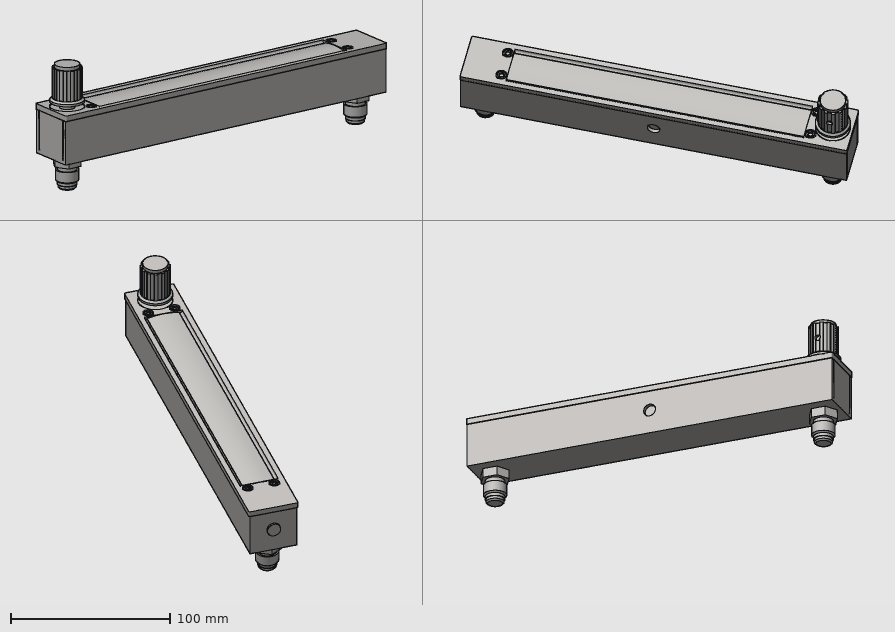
import cadquery as cq
import math


BODY_WIDTH = 31.1
BODY_LENGTH = 249.5
BODY_HEIGHT = 28.9
COVER_WIDTH = 32.6
COVER_LENGTH = 250.0
COVER_THICKNESS = 3.8
COVER_CORNER_RADIUS = 1.0
COVER_TOP = BODY_HEIGHT + COVER_THICKNESS

WINDOW_WIDTH = 25.0
WINDOW_LENGTH = 192.3
WINDOW_DEPTH = 2.0
WINDOW_FLOOR_RADIUS = 1.8
LENS_WIDTH = 21.3
LENS_EDGE_HEIGHT = 0.5
LENS_CROWN_HEIGHT = 1.8

SCREW_SPACING_X = 17.5
SCREW_SPACING_Y = 199.8
SCREW_DIAMETER = 6.8
SCREW_HOLE_DEPTH = 1.5
SCREW_HEAD_HEIGHT = 1.3
SCREW_HEAD_CHAMFER = 1.0
SOCKET_ACROSS_CORNERS = 3.3
SOCKET_DEPTH = 1.0

SIDE_HOLE_DIAMETER = 8.0
SIDE_HOLE_DEPTH = 2.5
SIDE_HOLE_HEIGHT = 15.8
END_BOSS_DIAMETER = 8.8
END_BOSS_THICKNESS = 1.3

END_SLOT_SPACING = 24.9
END_SLOT_TOP_WIDTH = 0.8
END_SLOT_BOTTOM_WIDTH = 0.3
END_SLOT_BOTTOM = 2.5
END_SLOT_DEPTH = 0.8

PORT_OFFSET = 112.2

SEAT_DEPTH = 0.8
STEM_DIAMETER = 9.8
STEM_HEIGHT = 3.0
FLANGE_DIAMETER = 22.0
FLANGE_THICKNESS = 1.5
FLANGE_CONE_HEIGHT = 1.3
GRIP_DIAMETER = 19.0
GRIP_TOP = 25.9
CAP_DIAMETER = 16.0
KNOB_HEIGHT = 28.0
FLUTE_COUNT = 12
FLUTE_DEPTH = 0.8
SET_SCREW_DIAMETER = 3.8
SET_SCREW_HEIGHT = 15.5
SET_SCREW_HOLE_DEPTH = 2.5

HEX_ACROSS_CORNERS = 19.0
HEX_DEPTH = 6.0
NECK_DIAMETER = 12.5
NUT_DIAMETER = 14.8
NUT_TOP_DEPTH = 9.0
NUT_BOTTOM_DEPTH = 15.8
NUT_TAPER_DEPTH = 16.8
STEP_DEPTH = 18.8
TIP_DIAMETER = 11.5
TIP_CHAMFER = 1.0
FITTING_DEPTH = 21.5


def cut_window(housing):
    """Cut the round-bottomed window slot and fill its middle with a domed lens."""
    floor = COVER_TOP - WINDOW_DEPTH
    slot = (
        cq.Workplane("XY", origin=(0, 0, floor))
        .box(WINDOW_WIDTH, WINDOW_LENGTH, WINDOW_DEPTH, centered=(True, True, False))
        .edges("|Y and <Z")
        .fillet(WINDOW_FLOOR_RADIUS)
    )
    half_lens = LENS_WIDTH / 2
    lens = (
        cq.Workplane("XZ", origin=(0, WINDOW_LENGTH / 2, 0))
        .moveTo(-half_lens, floor)
        .lineTo(-half_lens, floor + LENS_EDGE_HEIGHT)
        .threePointArc((0, floor + LENS_CROWN_HEIGHT), (half_lens, floor + LENS_EDGE_HEIGHT))
        .lineTo(half_lens, floor)
        .close()
        .extrude(WINDOW_LENGTH)
    )
    return housing.cut(slot).union(lens)


def add_cover_screws(housing):
    """Sink four socket screws into the cover, next to the window corners."""
    floor = COVER_TOP - SCREW_HOLE_DEPTH
    head_top = floor + SCREW_HEAD_HEIGHT

    def at_screws(height):
        return cq.Workplane("XY", origin=(0, 0, height)).rarray(SCREW_SPACING_X, SCREW_SPACING_Y, 2, 2)

    holes = at_screws(floor).circle(SCREW_DIAMETER / 2).extrude(SCREW_HOLE_DEPTH)
    heads = at_screws(floor).circle(SCREW_DIAMETER / 2).extrude(SCREW_HEAD_HEIGHT)
    heads = heads.faces(">Z").chamfer(SCREW_HEAD_CHAMFER)
    sockets = at_screws(head_top).polygon(6, SOCKET_ACROSS_CORNERS).extrude(-SOCKET_DEPTH)
    return housing.cut(holes).union(heads).cut(sockets)


def cut_end_slots(housing):
    """Cut two mirrored thin slots into the knob end; their inner sides are upright."""
    inner = END_SLOT_SPACING / 2
    slot = (
        cq.Workplane("XZ", origin=(0, -BODY_LENGTH / 2, 0))
        .polyline([
            (inner, END_SLOT_BOTTOM),
            (inner + END_SLOT_BOTTOM_WIDTH, END_SLOT_BOTTOM),
            (inner + END_SLOT_TOP_WIDTH, BODY_HEIGHT),
            (inner, BODY_HEIGHT),
        ])
        .close()
        .extrude(-END_SLOT_DEPTH)
    )
    return housing.cut(slot).cut(slot.mirror("YZ"))


def cut_knob_seat(housing):
    """Sink a round seat into the cover for the stem of the knob."""
    seat = (
        cq.Workplane("XY", origin=(0, -PORT_OFFSET, COVER_TOP))
        .circle(FLANGE_DIAMETER / 2)
        .extrude(-SEAT_DEPTH)
    )
    return housing.cut(seat)


def make_housing():
    body = cq.Workplane("XY").box(BODY_WIDTH, BODY_LENGTH, BODY_HEIGHT, centered=(True, True, False))
    cover = (
        cq.Workplane("XY", origin=(0, 0, BODY_HEIGHT))
        .box(COVER_WIDTH, COVER_LENGTH, COVER_THICKNESS, centered=(True, True, False))
        .edges("|Z")
        .fillet(COVER_CORNER_RADIUS)
    )
    end_boss = (
        cq.Workplane("XZ", origin=(0, BODY_LENGTH / 2, SIDE_HOLE_HEIGHT))
        .circle(END_BOSS_DIAMETER / 2)
        .extrude(-END_BOSS_THICKNESS)
    )
    side_hole = (
        cq.Workplane("YZ", origin=(-BODY_WIDTH / 2, 0, SIDE_HOLE_HEIGHT))
        .circle(SIDE_HOLE_DIAMETER / 2)
        .extrude(SIDE_HOLE_DEPTH)
    )
    housing = cut_end_slots(body).union(cover).union(end_boss).cut(side_hole)
    housing = cut_knob_seat(housing)
    housing = cut_window(housing)
    return add_cover_screws(housing)


def make_knob():
    """Turned knob with a fluted grip and a set screw hole facing -X."""
    flange_top = STEM_HEIGHT + FLANGE_THICKNESS
    cone_top = flange_top + FLANGE_CONE_HEIGHT
    grip_radius = GRIP_DIAMETER / 2
    profile = [
        (0, -SEAT_DEPTH),
        (STEM_DIAMETER / 2, -SEAT_DEPTH),
        (STEM_DIAMETER / 2, STEM_HEIGHT),
        (FLANGE_DIAMETER / 2, STEM_HEIGHT),
        (FLANGE_DIAMETER / 2, flange_top),
        (grip_radius, cone_top),
        (grip_radius, GRIP_TOP),
        (CAP_DIAMETER / 2, GRIP_TOP),
        (CAP_DIAMETER / 2, KNOB_HEIGHT),
        (0, KNOB_HEIGHT),
    ]
    knob = cq.Workplane("XZ").polyline(profile).close().revolve(360, (0, 0, 0), (0, 1, 0))

    flute_width = 2 * grip_radius * math.sin(math.pi / (2 * FLUTE_COUNT))
    flutes = (
        cq.Workplane("XY", origin=(0, 0, cone_top))
        .polarArray(grip_radius, 0, 360, FLUTE_COUNT)
        .rect(2 * FLUTE_DEPTH, flute_width)
        .extrude(GRIP_TOP - cone_top)
    )
    set_screw_hole = (
        cq.Workplane("YZ", origin=(-grip_radius, 0, SET_SCREW_HEIGHT))
        .circle(SET_SCREW_DIAMETER / 2)
        .extrude(SET_SCREW_HOLE_DEPTH)
    )
    return knob.cut(flutes).cut(set_screw_hole).translate((0, -PORT_OFFSET, COVER_TOP))


def make_fitting(y):
    """Hose fitting with a hexagon collar, hanging under the housing at y."""
    collar = cq.Workplane("XY").polygon(6, HEX_ACROSS_CORNERS).extrude(-HEX_DEPTH).rotate(
        (0, 0, 0), (0, 0, 1), 90
    )
    profile = [
        (0, 0),
        (NECK_DIAMETER / 2, 0),
        (NECK_DIAMETER / 2, -NUT_TOP_DEPTH),
        (NUT_DIAMETER / 2, -NUT_TOP_DEPTH),
        (NUT_DIAMETER / 2, -NUT_BOTTOM_DEPTH),
        (NECK_DIAMETER / 2, -NUT_TAPER_DEPTH),
        (NECK_DIAMETER / 2, -STEP_DEPTH),
        (TIP_DIAMETER / 2, -STEP_DEPTH),
        (TIP_DIAMETER / 2, TIP_CHAMFER - FITTING_DEPTH),
        (TIP_DIAMETER / 2 - TIP_CHAMFER, -FITTING_DEPTH),
        (0, -FITTING_DEPTH),
    ]
    shank = cq.Workplane("XZ").polyline(profile).close().revolve(360, (0, 0, 0), (0, 1, 0))
    return collar.union(shank).translate((0, y, 0))


housing = make_housing()
knob = make_knob()
fittings = [make_fitting(y) for y in (-PORT_OFFSET, PORT_OFFSET)]

result = cq.Compound.makeCompound([housing.val(), knob.val(), *[fitting.val() for fitting in fittings]])